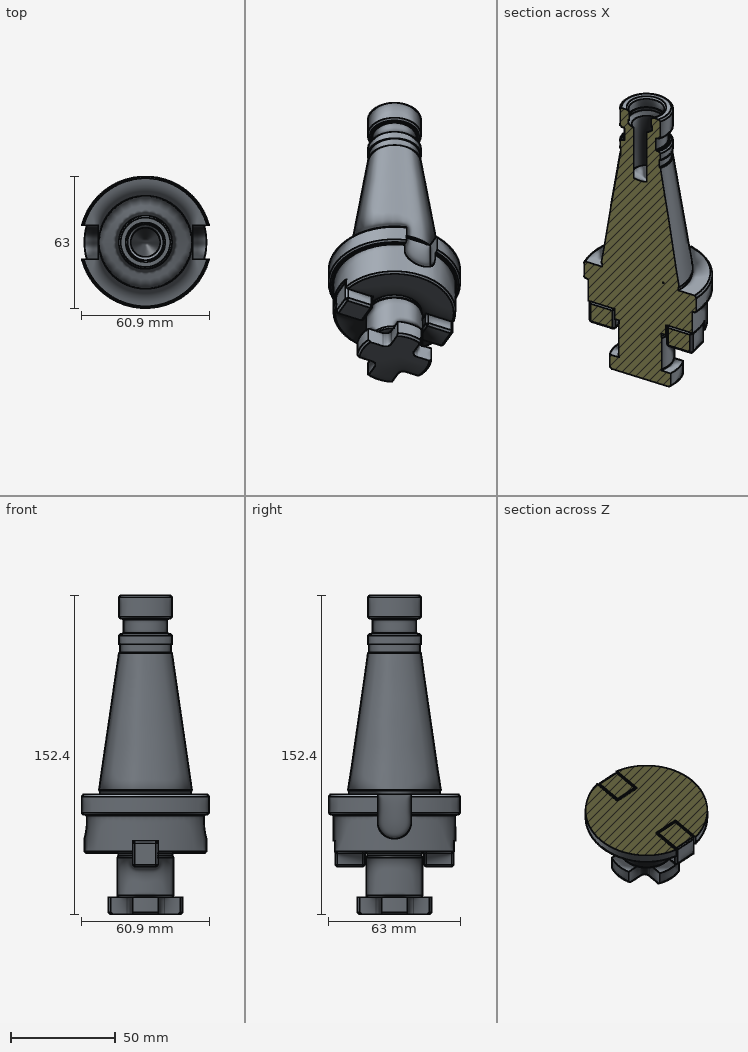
import cadquery as cq
import math

total_height = 152.4
screw_head_top = 8.2
body_bottom = 29.3
flange_bottom = 47.5
flange_top = 57.5
taper_bottom = 59.5
taper_top = 124.7
collar_bottom = 129.1
collar_top = 134.0
head_bottom = 141.1

pilot_radius = 27.0 / 2
body_radius = 58.4 / 2
flange_radius = 63.0 / 2
taper_large_radius = 44.5 / 2
taper_relief_radius = 43.7 / 2
collar_radius = 25.5 / 2
waist_radius = 24.5 / 2
neck_radius = 21.0 / 2
taper_slope = 7 / 24 / 2
taper_small_radius = taper_large_radius - taper_slope * (taper_top - taper_bottom)

small_break = 0.5
edge_break = 0.9
flange_top_break_height = 1.2
pilot_relief_depth = 0.5
pilot_relief_height = 1.4
pilot_relief_run = 0.9

bore_radius = 8.5
bore_mouth_radius = 9.5
bore_depth = 5.8
recess_radius = 8.8
recess_height = 1.8
core_hole_radius = 7.0
recess_cone_height = 2.0
core_hole_depth = 38.1
drill_tip_half_angle = 59.0

slot_width = 16.2
slot_floor = 22.5
slot_bottom = 36.1

key_width = 12.2
key_bottom = 22.7
key_top = 35.0
key_inner = 14.0
key_outer = 28.3
key_break = 1.0

screw_radius = 35.5 / 2
screw_arm_width = 12.2
screw_corner_fillet = 2.9
screw_end_break = 1.0


def make_turned_body():
    """Revolve the arbor from the pilot up to the retention head."""
    relief_radius = pilot_radius - pilot_relief_depth
    relief_bottom = body_bottom - pilot_relief_height
    profile = (
        cq.Workplane("XZ")
        .moveTo(0, screw_head_top)
        .lineTo(pilot_radius - small_break, screw_head_top)
        .lineTo(pilot_radius, screw_head_top + edge_break)
        .lineTo(pilot_radius, relief_bottom - pilot_relief_run)
        .lineTo(relief_radius, relief_bottom)
        .lineTo(relief_radius, body_bottom)
        .lineTo(body_radius - edge_break, body_bottom)
        .lineTo(body_radius, body_bottom + edge_break)
        .lineTo(body_radius, flange_bottom - small_break)
        .lineTo(body_radius + small_break, flange_bottom)
        .lineTo(flange_radius - edge_break, flange_bottom)
        .lineTo(flange_radius, flange_bottom + edge_break)
        .lineTo(flange_radius, flange_top - flange_top_break_height)
        .lineTo(flange_radius - edge_break, flange_top)
        .lineTo(taper_relief_radius, flange_top)
        .lineTo(taper_relief_radius, taper_bottom - small_break)
        .lineTo(taper_large_radius, taper_bottom)
        .lineTo(taper_small_radius, taper_top)
        .lineTo(waist_radius, taper_top + small_break)
        .lineTo(waist_radius, collar_bottom)
        .lineTo(collar_radius, collar_bottom)
        .lineTo(collar_radius, collar_top - edge_break)
        .lineTo(collar_radius - edge_break, collar_top)
        .lineTo(neck_radius + small_break, collar_top)
        .lineTo(neck_radius, collar_top + small_break)
        .lineTo(neck_radius, head_bottom - small_break)
        .lineTo(neck_radius + small_break, head_bottom)
        .lineTo(collar_radius - edge_break, head_bottom)
        .lineTo(collar_radius, head_bottom + edge_break)
        .lineTo(collar_radius, total_height - edge_break)
        .lineTo(collar_radius - edge_break, total_height)
        .lineTo(0, total_height)
        .close()
    )
    return profile.revolve(360, (0, 0, 0), (0, 1, 0))


def make_bore():
    """Stepped blind hole with a chamfered mouth, a shallow recess and a drill-point end."""
    mouth_chamfer = bore_mouth_radius - bore_radius
    bore_end = total_height - bore_depth
    recess_end = bore_end - recess_height
    hole_end = total_height - core_hole_depth
    tip_level = hole_end - core_hole_radius / math.tan(math.radians(drill_tip_half_angle))
    profile = (
        cq.Workplane("XZ")
        .moveTo(0, total_height)
        .lineTo(bore_mouth_radius, total_height)
        .lineTo(bore_radius, total_height - mouth_chamfer)
        .lineTo(bore_radius, bore_end)
        .lineTo(recess_radius, bore_end)
        .lineTo(recess_radius, recess_end)
        .lineTo(core_hole_radius, recess_end - recess_cone_height)
        .lineTo(core_hole_radius, hole_end)
        .lineTo(0, tip_level)
        .close()
    )
    return profile.revolve(360, (0, 0, 0), (0, 1, 0))


def make_driving_slot(side):
    """Round-bottomed slot cutter outside the slot floor on the +X or -X side."""
    half_width = slot_width / 2
    arc_center = slot_bottom + half_width
    return (
        cq.Workplane("YZ", origin=(side * slot_floor, 0, 0))
        .moveTo(-half_width, taper_bottom)
        .lineTo(-half_width, arc_center)
        .threePointArc((0, slot_bottom), (half_width, arc_center))
        .lineTo(half_width, taper_bottom)
        .close()
        .extrude(side * (flange_radius - slot_floor))
    )


def make_key_block(outer_reach):
    """Block as wide and tall as a key, from the key's inner face to outer_reach along -Y."""
    length = outer_reach - key_inner
    height = key_top - key_bottom
    center = (0, -(key_inner + length / 2), key_bottom + height / 2)
    return cq.Workplane("XY").box(key_width, length, height).translate(center)


def make_screw_head():
    """Cross of two arms with rounded inner corners and a turned, chamfered outside."""
    arm_length = 2 * screw_radius
    cross = (
        cq.Workplane("XY")
        .rect(arm_length, screw_arm_width)
        .extrude(screw_head_top)
        .union(cq.Workplane("XY").rect(screw_arm_width, arm_length).extrude(screw_head_top))
    )
    corner = screw_arm_width / 2
    for x_side in (-1, 1):
        for y_side in (-1, 1):
            inner_edge = cq.selectors.NearestToPointSelector(
                (x_side * corner, y_side * corner, screw_head_top / 2)
            )
            cross = cross.edges(inner_edge).fillet(screw_corner_fillet)
    outside = cq.Workplane("XY").circle(screw_radius).extrude(screw_head_top)
    return cross.intersect(outside.faces("<Z").chamfer(screw_end_break))


result = make_turned_body().union(make_screw_head()).cut(make_bore())

for side in (-1, 1):
    result = result.cut(make_driving_slot(side))

key_seat = make_key_block(flange_radius)
key = make_key_block(key_outer).edges().chamfer(key_break)
part_axis = ((0, 0, 0), (0, 0, 1))
for angle in (0, 180):
    result = result.cut(key_seat.rotate(*part_axis, angle))
    result = result.union(key.rotate(*part_axis, angle))